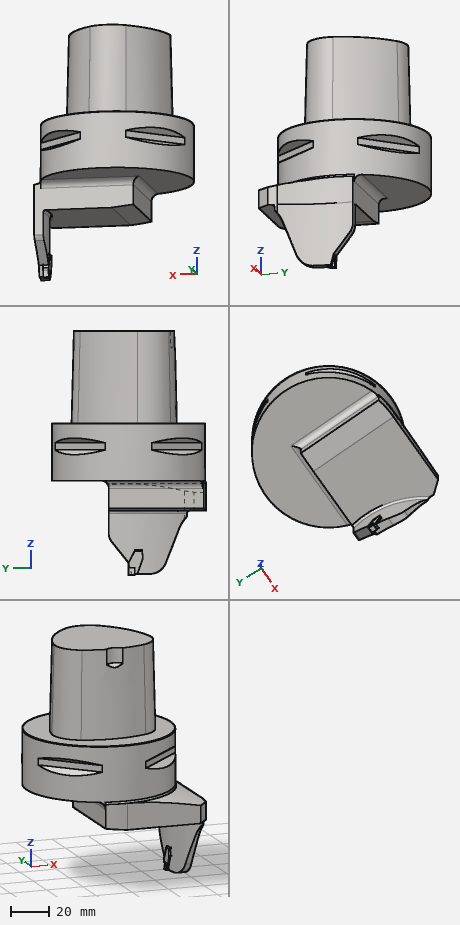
import cadquery as cq
import math

OVERALL_X = 86.9
OVERALL_Y = 80.5
FLANGE_D = 80.0
FLANGE_R = FLANGE_D / 2
FLANGE_H = 30.0
FLANGE_CHAMFER = 0.4

SHANK_H = 48.0
LOBE_R = 29.7
FLAT_R = 25.3
SEAM_R = 28.2
SEAM_ANGLE = 20.5
SHANK_TAPER = 1.21

NOTCH_R = 5.6
NOTCH_Y = -27.3
NOTCH_DEPTH = 8.1
DRILL_TIP_ANGLE = 108

GROOVE_COUNT = 4
GROOVE_Z = -12.1
GROOVE_FLOOR_DIST = 35.5
GROOVE_FLOOR_H = 3.5
GROOVE_MOUTH_H = 8.6

BLOCK_BOTTOM = -45.5
BLOCK_LEFT = -10.5
RIM_ARC_END_X = 0.8
BLOCK_RIGHT = OVERALL_X - FLANGE_R
BLOCK_FRONT = FLANGE_R - OVERALL_Y
BLOCK_BACK = 10.3
BLOCK_FILLET = 3.8
CORNER_X = 41.7
CORNER_Y = -34.0
CURVE_START_Y = -29.0
BOTTOM_RISE = 1.3
SHOULDER_Z = -31.1
SHOULDER_SLOPE = 0.27

BLADE_CENTER_Y = 1.3
BLADE_INNER_X = 36.5
BLADE_INNER_R = 53.4
BLADE_OUTER_X = 41.7
BLADE_OUTER_R = 89.0
BLADE_BOTTOM = -78.5
BLADE_ROOT_Y = -32.2
BLADE_NECK_Y = -31.0
HEEL_TOP = (BLOCK_BACK, -58.5)
HEEL_MID = (9.9, -59.7)
HEEL_END = (9.2, -61.3)
INSERT_SHOULDER = (0, -72.7)
NOSE_START = (-11.5, BLADE_BOTTOM)
NOSE_MID = (-16.4, -76.8)
NOSE_END = (-19.7, -72.2)
FLARE_START = (-26.5, -54.9)
FLARE_MID = (-28.1, -51.6)
FLARE_END = (-30.5, -48.5)
BLADE_FILLET = 1.3

TIP_Z = -79.0
INSERT_FACE_X = 36.2
INSERT_THICKNESS = 3.2
INSERT_TOP = -66.6
INSERT_TOP_LEFT = -7.1
INSERT_TOP_RIGHT = -3.2
POCKET_CLEARANCE = 0.6
TIP_W = 3.2
INSERT_EDGE = (0.3, -74.2)
INSERT_BULGE = (-7.5, -70.3)
INSERT_FOOT = (-4.8, -77.9)
INSERT_FOOT_Y = -4.3
TIP_H = 3.7
RAKE_DEPTH = 0.5


def polar(radius, angle):
    return (radius * math.cos(math.radians(angle)), radius * math.sin(math.radians(angle)))


def shank_section(z, shrink):
    """Wire of the lobed section: alternating lobe and flank arcs."""
    section = cq.Workplane("XY", origin=(0, 0, z)).moveTo(*polar(SEAM_R - shrink, 90 - SEAM_ANGLE))
    for lobe in (90, 210, 330):
        section = section.threePointArc(
            polar(LOBE_R - shrink, lobe), polar(SEAM_R - shrink, lobe + SEAM_ANGLE)
        ).threePointArc(
            polar(FLAT_R - shrink, lobe + 60), polar(SEAM_R - shrink, lobe + 120 - SEAM_ANGLE)
        )
    return section.close().val()


def make_shank():
    sections = [shank_section(0, 0), shank_section(SHANK_H, SHANK_TAPER)]
    shank = cq.Workplane(cq.Solid.makeLoft(sections, True))
    cone_h = NOTCH_R / math.tan(math.radians(DRILL_TIP_ANGLE / 2))
    floor_z = SHANK_H - NOTCH_DEPTH
    drill = (
        cq.Workplane("XZ", origin=(0, NOTCH_Y, 0))
        .polyline([(0, floor_z - cone_h), (NOTCH_R, floor_z), (NOTCH_R, SHANK_H), (0, SHANK_H)])
        .close()
        .revolve(360, (0, 0, 0), (0, 1, 0))
    )
    return shank.cut(drill)


def make_flange():
    flange = (
        cq.Workplane("XY", origin=(0, 0, -FLANGE_H))
        .circle(FLANGE_R)
        .extrude(FLANGE_H)
        .faces(">Z").edges().chamfer(FLANGE_CHAMFER)
    )
    flank = (GROOVE_MOUTH_H - GROOVE_FLOOR_H) / 2 / (FLANGE_R - GROOVE_FLOOR_DIST)
    reach = 2 * (FLANGE_R - GROOVE_FLOOR_DIST)
    inner = GROOVE_FLOOR_H / 2
    outer = inner + flank * reach
    groove = (
        cq.Workplane("XZ")
        .polyline([
            (GROOVE_FLOOR_DIST, GROOVE_Z - inner),
            (GROOVE_FLOOR_DIST + reach, GROOVE_Z - outer),
            (GROOVE_FLOOR_DIST + reach, GROOVE_Z + outer),
            (GROOVE_FLOOR_DIST, GROOVE_Z + inner),
        ])
        .close()
        .extrude(FLANGE_R, both=True)
    )
    step = 360 / GROOVE_COUNT
    for i in range(GROOVE_COUNT):
        flange = flange.cut(groove.rotate((0, 0, 0), (0, 0, 1), step * (i + 0.5)))
    return flange


def outer_curve_x(y):
    """X of the concave outer side of the block and blade at a given Y."""
    return BLADE_OUTER_X + BLADE_OUTER_R - math.sqrt(BLADE_OUTER_R**2 - (y - BLADE_CENTER_Y) ** 2)


def make_block():
    rim_r = -BLOCK_FRONT
    arc_mid_x = (BLOCK_LEFT + RIM_ARC_END_X) / 2
    block = (
        cq.Workplane("XY", origin=(0, 0, BLOCK_BOTTOM))
        .moveTo(BLOCK_LEFT, BLOCK_BACK)
        .lineTo(BLOCK_LEFT, -math.sqrt(rim_r**2 - BLOCK_LEFT**2))
        .threePointArc((arc_mid_x, -math.sqrt(rim_r**2 - arc_mid_x**2)), (RIM_ARC_END_X, BLOCK_FRONT))
        .lineTo(CORNER_X, BLOCK_FRONT)
        .lineTo(BLOCK_RIGHT, CORNER_Y)
        .lineTo(BLOCK_RIGHT, CURVE_START_Y)
        .threePointArc((BLADE_OUTER_X, BLADE_CENTER_Y), (outer_curve_x(BLOCK_BACK), BLOCK_BACK))
        .close()
        .extrude(-FLANGE_H - BLOCK_BOTTOM)
    )
    far_r = 2 * FLANGE_R
    shoulder = (
        cq.Workplane("XZ")
        .polyline([
            (0, BLOCK_BOTTOM),
            (far_r, BLOCK_BOTTOM),
            (far_r, SHOULDER_Z - SHOULDER_SLOPE * (far_r - rim_r)),
            (rim_r, SHOULDER_Z),
            (FLANGE_R, -FLANGE_H),
            (0, -FLANGE_H),
        ])
        .close()
        .revolve(360, (0, 0, 0), (0, 1, 0))
    )
    rise = (
        cq.Workplane("XZ")
        .polyline([
            (RIM_ARC_END_X, BLOCK_BOTTOM),
            (BLOCK_LEFT, BLOCK_BOTTOM),
            (BLOCK_LEFT, BLOCK_BOTTOM + BOTTOM_RISE),
        ])
        .close()
        .extrude(2 * FLANGE_R, both=True)
    )
    return block.intersect(shoulder).cut(rise)


def wall_fillet(length):
    """Concave fillet strip along +Y, filling the corner below Z = 0 at X < 0."""
    r = BLOCK_FILLET
    mid = r * (1 - math.sqrt(0.5))
    return (
        cq.Workplane("XZ")
        .lineTo(-r, 0)
        .threePointArc((-mid, -mid), (0, -r))
        .close()
        .extrude(-length)
    )


def make_block_fillets():
    """Fillets from the flange underside to the -X and +Y walls of the block, mitred at the corner."""
    r = BLOCK_FILLET
    span = 2 * FLANGE_R
    corner = (BLOCK_LEFT, BLOCK_BACK, -FLANGE_H)
    side = wall_fillet(span).translate((0, r - span, 0))
    back = side.mirror("YZ").rotate((0, 0, 0), (0, 0, 1), 90)
    miter = side.intersect(back)
    side_run = wall_fillet(span).translate((0, -span, 0))
    back_run = side_run.mirror("YZ").rotate((0, 0, 0), (0, 0, 1), 90)
    inside = cq.Workplane("XY").circle(FLANGE_R).extrude(BLOCK_BOTTOM)
    return side_run.union(back_run).union(miter).translate(corner).intersect(inside)


def make_blade():
    profile = (
        cq.Workplane("YZ")
        .moveTo(BLADE_ROOT_Y, BLOCK_BOTTOM)
        .lineTo(BLOCK_BACK, BLOCK_BOTTOM)
        .lineTo(*HEEL_TOP)
        .threePointArc(HEEL_MID, HEEL_END)
        .lineTo(*INSERT_SHOULDER)
        .lineTo(-TIP_W / 2, BLADE_BOTTOM)
        .lineTo(*NOSE_START)
        .threePointArc(NOSE_MID, NOSE_END)
        .lineTo(*FLARE_START)
        .threePointArc(FLARE_MID, FLARE_END)
        .lineTo(BLADE_NECK_Y, BLOCK_BOTTOM - BLADE_FILLET)
        .close()
        .extrude(BLOCK_RIGHT)
    )
    floor = cq.Workplane("XY", origin=(0, 0, TIP_Z))
    height = BLOCK_BOTTOM - TIP_Z
    inner_x = BLADE_INNER_X + BLADE_INNER_R
    inner = floor.center(inner_x, BLADE_CENTER_Y).circle(BLADE_INNER_R).extrude(height)
    outer = floor.center(BLADE_OUTER_X + BLADE_OUTER_R, BLADE_CENTER_Y).circle(BLADE_OUTER_R).extrude(height)
    blade = profile.intersect(inner).cut(outer)

    r = BLADE_FILLET
    mid = r * (1 - math.sqrt(0.5))
    ring = (
        cq.Workplane("XZ", origin=(inner_x, BLADE_CENTER_Y, BLOCK_BOTTOM))
        .moveTo(-BLADE_INNER_R, 0)
        .lineTo(-BLADE_INNER_R - r, 0)
        .threePointArc((-BLADE_INNER_R - mid, -mid), (-BLADE_INNER_R, -r))
        .close()
        .revolve(360, (0, 0, 0), (0, 1, 0))
    )
    return blade.union(ring.intersect(profile))


def make_insert_blank():
    return (
        cq.Workplane("YZ", origin=(INSERT_FACE_X, 0, 0))
        .polyline([
            (0, TIP_Z),
            (0, TIP_Z + TIP_H),
            INSERT_EDGE,
            INSERT_SHOULDER,
            (INSERT_TOP_RIGHT, INSERT_TOP),
            (INSERT_TOP_LEFT, INSERT_TOP),
            INSERT_BULGE,
            INSERT_FOOT,
            (INSERT_FOOT_Y, BLADE_BOTTOM),
            (-TIP_W, BLADE_BOTTOM),
            (-TIP_W, TIP_Z),
        ])
        .close()
        .extrude(INSERT_THICKNESS)
    )


def make_pocket(blank):
    """Seat for the insert, with a narrow clearance above its upper end."""
    clearance = (
        cq.Workplane("XY", origin=(INSERT_FACE_X, INSERT_TOP_LEFT, INSERT_TOP))
        .box(INSERT_THICKNESS, INSERT_TOP_RIGHT - INSERT_TOP_LEFT, POCKET_CLEARANCE, centered=False)
    )
    return blank.union(clearance)


def make_insert(blank):
    rake = (
        cq.Workplane("XZ")
        .polyline([
            (INSERT_FACE_X, TIP_Z),
            (INSERT_FACE_X, TIP_Z + TIP_H),
            (INSERT_FACE_X + RAKE_DEPTH, TIP_Z + TIP_H),
        ])
        .close()
        .extrude(TIP_W)
    )
    return blank.cut(rake)


insert_plate = make_insert_blank()

holder = (
    make_flange()
    .union(make_shank())
    .union(make_block())
    .union(make_block_fillets())
    .union(make_blade())
    .cut(make_pocket(insert_plate))
)
insert = make_insert(insert_plate)

result = cq.Compound.makeCompound([holder.solids().val(), insert.solids().val()])